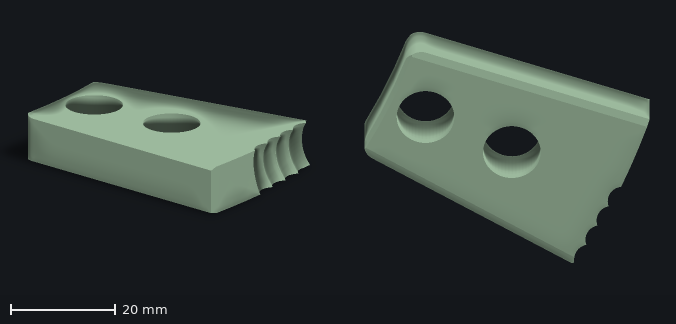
import cadquery as cq
import math

length = 50.4
thickness = 9.45
wedge_angle = 12.0
upper_side_height = 24.2
outer_radius = 163.75
end_gap = 48.4
inner_radius = outer_radius - end_gap
arc_center_x = length - outer_radius
corner_radius = 3.2

side_bevel_width = 1.5
side_bevel_depth = 0.4
end_bevel = 0.8

hole_diameter = 11.1
first_hole = (9.3, 12.9)
hole_spacing = 18.2

groove_count = 5
groove_radius = 3.55
root_radius = 9.05
groove_depth = 0.8
tooth_pitch = 4.65
tip_line_angle = 9.1
top_tip = (46.7, 31.35)
groove_shift = 2.85

slope = math.tan(math.radians(wedge_angle))


def upper_side_y(x):
    return upper_side_height + slope * x


def make_plate():
    """Ring between the two arcs, trimmed to the wedge, with rounded inner corners."""
    ring = (
        cq.Workplane("XY")
        .center(arc_center_x, 0)
        .circle(outer_radius)
        .circle(inner_radius)
        .extrude(thickness)
    )
    start_x, end_x = -length / 2, length * 1.5
    wedge = (
        cq.Workplane("XY")
        .polyline([
            (start_x, 0),
            (end_x, 0),
            (end_x, upper_side_y(end_x)),
            (start_x, upper_side_y(start_x)),
        ])
        .close()
        .extrude(thickness)
    )
    plate = ring.intersect(wedge)
    inner_end = cq.selectors.BoxSelector((-length / 4, -corner_radius, 0), (length / 4, length, thickness))
    return plate.edges("|Z").edges(inner_end).fillet(corner_radius)


def make_side_bevels():
    """Straight triangular bars along the lower and sloping sides, on both faces."""
    bar_length = 3 * length
    bar = (
        cq.Workplane("YZ")
        .polyline([(0, thickness - side_bevel_depth), (0, thickness), (side_bevel_width, thickness)])
        .close()
        .extrude(bar_length)
        .translate((-bar_length / 2, 0, 0))
    )
    sloping_bar = (
        bar.mirror("XZ")
        .rotate((0, 0, 0), (0, 0, 1), wedge_angle)
        .translate((0, upper_side_height, 0))
    )
    upper = bar.union(sloping_bar)
    return upper.union(upper.mirror("XY", (0, 0, thickness / 2)))


def make_end_bevels():
    """Conical bevels following the inner arc, on both faces."""
    upper = (
        cq.Workplane("XZ")
        .polyline([
            (inner_radius, thickness - end_bevel),
            (inner_radius, thickness),
            (inner_radius + end_bevel, thickness),
        ])
        .close()
        .revolve(360, (0, 0, 0), (0, 1, 0))
        .translate((arc_center_x, 0, 0))
    )
    return upper.union(upper.mirror("XY", (0, 0, thickness / 2)))


def make_holes():
    direction = math.radians(wedge_angle / 2)
    second_hole = (
        first_hole[0] + hole_spacing * math.cos(direction),
        first_hole[1] + hole_spacing * math.sin(direction),
    )
    return (
        cq.Workplane("XY")
        .pushPoints([first_hole, second_hole])
        .circle(hole_diameter / 2)
        .extrude(thickness)
    )


def cut_grooves(plate):
    """Slanted grooves hollowed towards mid-thickness, each cut by a ring of round section."""
    angle = math.radians(tip_line_angle)
    along = cq.Vector(math.sin(angle), -math.cos(angle), 0)
    outward = cq.Vector(math.cos(angle), math.sin(angle), 0)
    half_axis = (along * groove_shift + cq.Vector(0, 0, thickness)) * 0.5
    ring_normal = half_axis.cross(outward)
    ring_offset = math.sqrt(root_radius ** 2 - half_axis.Length ** 2)
    tip = cq.Vector(top_tip[0], top_tip[1], thickness)
    for index in range(groove_count):
        top_floor = tip + along * (tooth_pitch * (index - 0.5)) - outward * groove_depth
        ring_center = top_floor - half_axis + outward * ring_offset
        ring = cq.Solid.makeTorus(root_radius - groove_radius, groove_radius, ring_center, ring_normal)
        plate = plate.cut(cq.Workplane(obj=ring))
    return plate


body = make_plate().cut(make_side_bevels()).cut(make_end_bevels()).cut(make_holes())
result = cut_grooves(body)